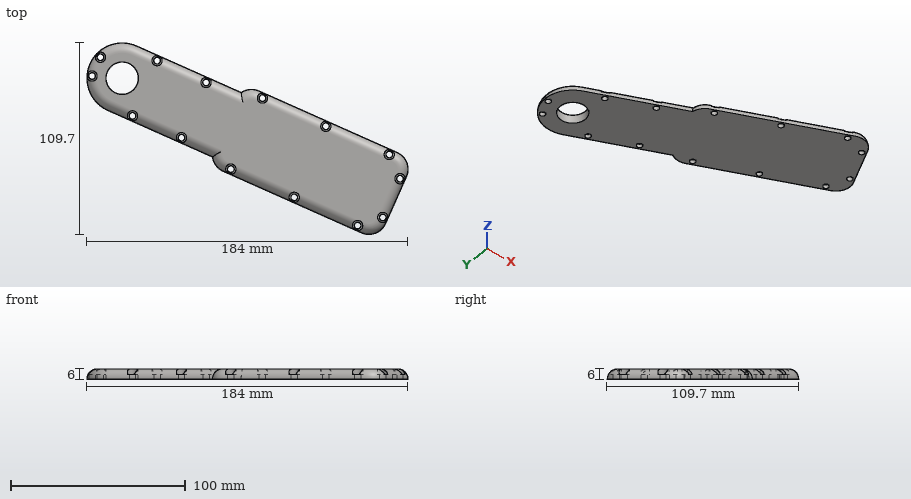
import cadquery as cq
import math

plate_angle = -24.0
thickness = 6.0
edge_round = 5.9

handle_radius = 20.2
hanging_hole_diameter = 18.4

head_start = 64.0
head_half_width = 25.2
head_corner_radius = 10.5

overall_length = 184.0
turn = math.radians(abs(plate_angle))
corner_reach = overall_length - handle_radius - head_corner_radius
corner_side = head_half_width - head_corner_radius
head_end = (corner_reach - corner_side * math.sin(turn)) / math.cos(turn) + head_corner_radius

screw_inset = 3.0
screw_hole_diameter = 3.7
counterbore_diameter = 5.9
counterbore_floor = 3.0
handle_screw_start = 14.2
handle_screw_pitch = 30.7
head_screw_start = 78.0
head_screw_pitch = 39.7
head_side_screw_count = 3
handle_side_screw_count = 2
end_screw_offset = 12.1
tip_screw_offset = 5.9


def make_handle():
    """Bar with a half-round free end; its other end is buried in the head."""
    buried_end = (head_start + head_end) / 2
    return (
        cq.Workplane("XY")
        .moveTo(buried_end, handle_radius)
        .lineTo(0, handle_radius)
        .threePointArc((-handle_radius, 0), (0, -handle_radius))
        .lineTo(buried_end, -handle_radius)
        .close()
        .extrude(thickness)
        .faces(">Z")
        .edges()
        .fillet(edge_round)
    )


def make_head():
    """Round-cornered rectangle with a rounded top rim."""
    return (
        cq.Workplane("XY")
        .center((head_start + head_end) / 2, 0)
        .rect(head_end - head_start, 2 * head_half_width)
        .extrude(thickness)
        .edges("|Z")
        .fillet(head_corner_radius)
        .faces(">Z")
        .edges()
        .fillet(edge_round)
    )


def screw_points():
    """Screw hole centres, mirrored across the plate's long axis."""
    handle_row = handle_radius - screw_inset
    head_row = head_half_width - screw_inset
    tip_reach = math.sqrt(handle_row**2 - tip_screw_offset**2)
    upper = [
        (-tip_reach, tip_screw_offset),
        (head_end - screw_inset, end_screw_offset),
    ]
    for i in range(handle_side_screw_count):
        upper.append((handle_screw_start + i * handle_screw_pitch, handle_row))
    for i in range(head_side_screw_count):
        upper.append((head_screw_start + i * head_screw_pitch, head_row))
    lower = [(x, -y) for x, y in upper]
    return upper + lower


def cylinders(points, diameter, floor):
    """Cutters that run from the given height up through the top face."""
    return (
        cq.Workplane("XY")
        .workplane(offset=floor)
        .pushPoints(points)
        .circle(diameter / 2)
        .extrude(thickness - floor)
    )


plate = make_handle().union(make_head())
plate = plate.cut(cylinders([(0, 0)], hanging_hole_diameter, 0))
plate = plate.cut(cylinders(screw_points(), screw_hole_diameter, 0))
plate = plate.cut(cylinders(screw_points(), counterbore_diameter, counterbore_floor))

result = plate.rotate((0, 0, 0), (0, 0, 1), plate_angle)